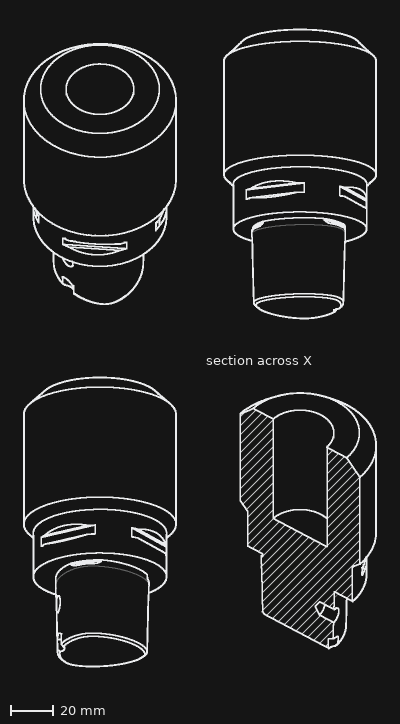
import cadquery as cq
import math

total_height = 128.0
flange_bottom = 38.0
flange_top = 60.0
cone_height = 4.5

body_radius = 36.0
flange_radius = body_radius - cone_height
top_chamfer = 8.0
bore_radius = 16.0
bore_floor = flange_top + cone_height

shank_radius = 22.0
lobe_height = 1.4
lobe_count = 3
lobe_direction = 90.0
points_per_lobe = 12
taper_per_side = 1 / 40
taper_top = 34.8
end_chamfer = 1.2
relief_radius = 22.4
relief_shelf_radius = 22.8
relief_height = 0.8
relief_flare_height = 1.2

slot_count = 4
slot_first_angle = 45.0
slot_center_z = 49.9
slot_floor_distance = 27.6
slot_floor_height = 4.5
slot_wall_depth = 1.4
slot_flare_angle = 33.0

drill_point_angle = 118.0
face_distance = shank_radius - lobe_height
side_hole_radius = 4.1
side_hole_z = 22.5
side_hole_depth = 9.0
end_hole_radius = 4.6
end_hole_depth = 6.1
end_hole_y = -21.8


def body_of_revolution():
    """Flange, cone and cylindrical head with a chamfered top."""
    outline = [
        (0, flange_bottom),
        (flange_radius, flange_bottom),
        (flange_radius, flange_top),
        (body_radius, flange_top + cone_height),
        (body_radius, total_height - top_chamfer),
        (body_radius - top_chamfer, total_height),
        (0, total_height),
    ]
    return cq.Workplane("XZ").polyline(outline).close().revolve(360, (0, 0), (0, 1))


def bore():
    """Blind flat-bottomed bore, open at the top."""
    depth = total_height - bore_floor
    return cq.Workplane("XY", origin=(0, 0, bore_floor)).circle(bore_radius).extrude(depth)


def lobed_wire(z, inset):
    """Constant-width curve with three lobes, moved inwards by the inset."""
    mean_radius = shank_radius - inset
    count = lobe_count * points_per_lobe
    points = []
    for i in range(count):
        angle = 2 * math.pi * i / count
        phase = lobe_count * (angle - math.radians(lobe_direction))
        reach = mean_radius + lobe_height * math.cos(phase)
        slope = -lobe_count * lobe_height * math.sin(phase)
        points.append(cq.Vector(
            reach * math.cos(angle) - slope * math.sin(angle),
            reach * math.sin(angle) + slope * math.cos(angle),
            z,
        ))
    return cq.Wire.assembleEdges([cq.Edge.makeSpline(points, periodic=True)])


def shank():
    """End chamfer, tapered length and straight neck, stacked upwards."""
    end_inset = taper_per_side * (taper_top - end_chamfer)
    sections = [
        (0, end_inset + end_chamfer),
        (end_chamfer, end_inset),
        (taper_top, 0),
        (flange_bottom, 0),
    ]
    solid = cq.Workplane("XY")
    for lower, upper in zip(sections, sections[1:]):
        stage = cq.Solid.makeLoft([lobed_wire(*lower), lobed_wire(*upper)], ruled=True)
        solid = solid.add(stage)
    return solid.combine(clean=False)


def relief_groove():
    """Ring that trims the lobes just below the flange, widening down to a flat shelf."""
    flare_top = flange_bottom - relief_height
    outline = [
        (relief_radius, flange_bottom),
        (relief_radius, flare_top),
        (relief_shelf_radius, flare_top - relief_flare_height),
        (flange_radius, flare_top - relief_flare_height),
        (flange_radius, flange_bottom),
    ]
    return cq.Workplane("XZ").polyline(outline).close().revolve(360, (0, 0), (0, 1))


def gripper_slot(angle):
    """Straight slot with a flat floor, short side walls and flared edges."""
    half_height = slot_floor_height / 2
    flare_start = slot_floor_distance + slot_wall_depth
    flare_rise = (body_radius - flare_start) * math.tan(math.radians(slot_flare_angle))
    profile = [
        (slot_floor_distance, slot_center_z - half_height),
        (flare_start, slot_center_z - half_height),
        (body_radius, slot_center_z - half_height - flare_rise),
        (body_radius, slot_center_z + half_height + flare_rise),
        (flare_start, slot_center_z + half_height),
        (slot_floor_distance, slot_center_z + half_height),
    ]
    cutter = cq.Workplane("XZ").polyline(profile).close().extrude(flange_radius, both=True)
    return cutter.rotate((0, 0, 0), (0, 0, 1), angle)


def drill(mouth, direction, radius, depth):
    """Blind drilled hole with a conical point."""
    axis = cq.Vector(*direction)
    start = cq.Vector(*mouth)
    point_height = radius / math.tan(math.radians(drill_point_angle / 2))
    barrel = cq.Solid.makeCylinder(radius, depth, start, axis)
    point = cq.Solid.makeCone(radius, 0, point_height, start + axis * depth, axis)
    return cq.Workplane("XY").add(barrel.fuse(point))


result = body_of_revolution()
result = result.union(shank().cut(relief_groove()), clean=False)
result = result.cut(bore())
for i in range(slot_count):
    result = result.cut(gripper_slot(slot_first_angle + i * 360 / slot_count))
result = result.cut(drill((0, -face_distance, side_hole_z), (0, 1, 0), side_hole_radius, side_hole_depth))
result = result.cut(drill((0, end_hole_y, 0), (0, 0, 1), end_hole_radius, end_hole_depth))